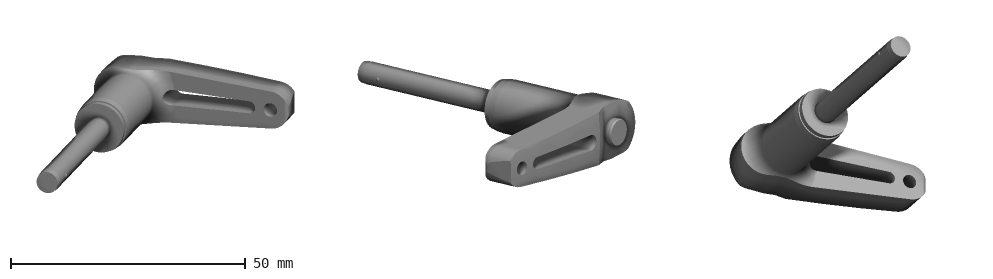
import cadquery as cq
import math

total_length = 67.6

pin_radius = 2.5
pin_tip_radius = 2.35
pin_tip_length = 1.5
ball_radius = 0.6
ball_height = 5.4
ball_protrusion = 0.2

collar_bottom = 35.95
collar_radius = 5.5
sleeve_bottom = 37.2
sleeve_bottom_radius = 5.75
sleeve_taper_top = 38.8
sleeve_radius = 5.9
sleeve_top = 54.8
flare_radius = 4.3
flare_outer_radius = sleeve_radius + flare_radius
flare_top = sleeve_top + flare_radius

button_radius = 3.0
button_bevel = 0.35

head_width = 12.65
head_radius = head_width / 2
heel_radius = 6.15
heel_x = -2.35
tip_radius = 4.2
tip_x = 31.15
heel_end = heel_x - heel_radius
tip_end = tip_x + tip_radius

seat_height = 65.9
seat_half_width = 2.85
heel_top = 66.3
heel_flat_end = -4.9
heel_lean = 0.95
arm_crest_x = 5.9
arm_crest_height = 66.9
crown_axis_height = 16.2
arm_middle_x = 19.6
arm_middle_height = 66.25
tip_top = 64.55
tip_lean = 0.8
tip_bottom = 57.85
underside_start = 8.5
bottom_tip_fillet = 0.8

heel_face_radius = 7.7

slot_start = 7.15
slot_end = 27.8
slot_start_radius = 1.75
slot_end_radius = 1.35
eye_x = 31.2
eye_diameter = 3.05


def tangent_point(circle_x, radius, slope):
    """Upper contact point of a tangent whose outward normal leans by sine `slope` toward +X."""
    return circle_x + radius * slope, radius * math.sqrt(1 - slope**2)


def mirrored(point):
    return point[0], -point[1]


def extrude_plan(circles):
    """Extrude along Y the hull of circles (x, radius) ordered along X, past both ends of the part."""
    upper = []
    for (x1, r1), (x2, r2) in zip(circles, circles[1:]):
        slope = (r1 - r2) / (x2 - x1)
        upper.append((tangent_point(x1, r1, slope), tangent_point(x2, r2, slope)))
    first_x, first_radius = circles[0]
    last_x, last_radius = circles[-1]

    outline = cq.Workplane("XZ").moveTo(*upper[0][0]).lineTo(*upper[0][1])
    for (x, radius), (start, end) in zip(circles[1:-1], upper[1:]):
        outline = outline.threePointArc(tangent_point(x, radius, 0), start).lineTo(*end)
    outline = outline.threePointArc((last_x + last_radius, 0), mirrored(upper[-1][1]))
    outline = outline.lineTo(*mirrored(upper[-1][0]))
    for (x, radius), (start, end) in reversed(list(zip(circles[1:-1], upper))):
        outline = outline.threePointArc(mirrored(tangent_point(x, radius, 0)), mirrored(end))
        outline = outline.lineTo(*mirrored(start))
    outline = outline.threePointArc((first_x - first_radius, 0), upper[0][0])
    return outline.close().extrude(-total_length)


def make_crowned_top():
    """Dished button seat and arched arm, turned about a far axis so the top is crowned across."""
    return (
        cq.Workplane("XY")
        .moveTo(heel_end, crown_axis_height)
        .lineTo(heel_end, heel_top)
        .lineTo(heel_flat_end, heel_top)
        .lineTo(-seat_half_width, seat_height)
        .lineTo(seat_half_width, seat_height)
        .lineTo(arm_crest_x, arm_crest_height)
        .threePointArc((arm_middle_x, arm_middle_height), (tip_end - tip_lean, tip_top))
        .lineTo(tip_end, tip_top)
        .lineTo(tip_end, crown_axis_height)
        .close()
        .revolve(360, (0, crown_axis_height), (1, crown_axis_height))
    )


def make_side_profile():
    """Sloping underside and leaning tip of the handle, under the crowned top."""
    tip_slope = tip_lean / (tip_top - tip_bottom)
    slab = (
        cq.Workplane("XY")
        .moveTo(heel_end, flare_top)
        .lineTo(heel_end, total_length)
        .lineTo(tip_end - tip_slope * (total_length - tip_bottom), total_length)
        .lineTo(tip_end, tip_bottom)
        .lineTo(underside_start, flare_top)
        .close()
        .extrude(head_radius, both=True)
        .edges(cq.selectors.NearestToPointSelector((tip_end, tip_bottom, 0)))
        .fillet(bottom_tip_fillet)
    )
    return slab.intersect(make_crowned_top())


def make_heel_face():
    """Leaning cylinder whose outer side is the heel face; a block keeps the rest of the handle."""
    lean_angle = math.degrees(math.atan2(heel_lean, heel_top - flare_top))
    axis_x = heel_end + heel_face_radius
    cylinder = (
        cq.Workplane("XZ")
        .center(axis_x, 0)
        .circle(heel_face_radius)
        .extrude(-total_length)
        .rotate((heel_end, flare_top, 0), (heel_end, flare_top, 1), -lean_angle)
    )
    rest = cq.Workplane("XY").box(
        total_length, total_length, head_width, centered=(False, False, True)
    )
    return cylinder.union(rest)


def make_flare():
    """Concave ring that widens the sleeve until it meets the underside of the handle."""
    bend = flare_radius * math.sqrt(0.5)
    return (
        cq.Workplane("XY")
        .moveTo(0, sleeve_top)
        .lineTo(sleeve_radius, sleeve_top)
        .threePointArc(
            (flare_outer_radius - bend, sleeve_top + bend),
            (flare_outer_radius, flare_top),
        )
        .lineTo(0, flare_top)
        .close()
        .revolve(360, (0, 0), (0, 1))
    )


def make_handle():
    plan = extrude_plan([(heel_x, heel_radius), (0, head_radius), (tip_x, tip_radius)])
    body = make_side_profile().intersect(plan).intersect(make_heel_face())
    flare = make_flare().intersect(plan)
    slot = extrude_plan(
        [
            (slot_start + slot_start_radius, slot_start_radius),
            (slot_end - slot_end_radius, slot_end_radius),
        ]
    )
    eye = cq.Workplane("XZ").center(eye_x, 0).circle(eye_diameter / 2).extrude(-total_length)
    return body.union(flare).cut(slot).cut(eye)


def make_shaft():
    """Pin, collar, sleeve and push button, turned as one profile about the pin axis."""
    points = [
        (0, 0),
        (pin_tip_radius, 0),
        (pin_radius, pin_tip_length),
        (pin_radius, collar_bottom),
        (collar_radius, collar_bottom),
        (collar_radius, sleeve_bottom),
        (sleeve_bottom_radius, sleeve_bottom),
        (sleeve_radius, sleeve_taper_top),
        (sleeve_radius, sleeve_top),
        (button_radius, sleeve_top),
        (button_radius, total_length - button_bevel),
        (button_radius - button_bevel / 2, total_length),
        (0, total_length),
    ]
    return cq.Workplane("XY").polyline(points).close().revolve(360, (0, 0), (0, 1))


def make_balls():
    offset = pin_radius + ball_protrusion - ball_radius
    return (
        cq.Workplane("XY")
        .pushPoints([(-offset, ball_height), (offset, ball_height)])
        .sphere(ball_radius)
    )


result = make_shaft().union(make_handle()).union(make_balls())